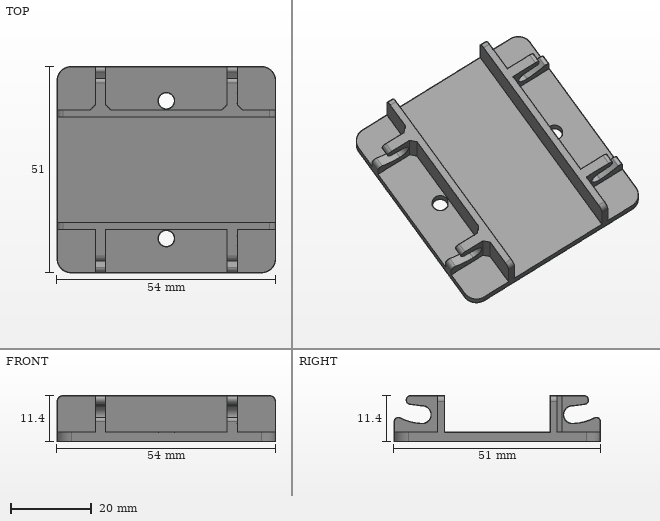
import cadquery as cq

length = 54.0
width = 51.0
height = 11.4
base_thickness = 2.4
base_corner_radius = 3.5

channel_width = 26.05
wall_thickness = 1.75
wall_corner_radius = 1.5
wall_inner_y = channel_width / 2
wall_outer_y = wall_inner_y + wall_thickness

hole_diameter = 4.0
hole_offset_y = 17.0

hook_thickness = 2.55
hook_offset_x = 16.25
gusset_leg = 1.3

lip_side_end = (0, 5.0)
lip_shoulder = (0.3, 5.7)
lip_ramp_start = (1.3, 6.0)
ramp_middle = (3.5, 5.1)
slot_bottom = (6.6, 4.55)
slot_deepest = (9.05, 7.0)
slot_top = (6.7, 8.85)
finger_underside_end = (3.9, 9.25)
finger_tip = (2.95, 10.2)
finger_top_end = (4.1, height)


def make_base():
    plate = cq.Workplane("XY").box(length, width, base_thickness, centered=(True, True, False))
    return plate.edges("|Z").fillet(base_corner_radius)


def make_wall():
    """Wall on the +Y side with rounded top ends."""
    wall = (
        cq.Workplane("XY")
        .box(length, wall_thickness, height, centered=(True, False, False))
        .translate((0, wall_inner_y, 0))
    )
    return wall.edges("|Y and >Z").fillet(wall_corner_radius)


def make_hook(x):
    """Hook on the +Y side, centred at x and reaching into the wall."""

    def at(point):
        inset, z = point
        return (width / 2 - inset, z)

    wall_inset = width / 2 - wall_inner_y - wall_thickness / 2
    return (
        cq.Workplane("YZ", origin=(x, 0, 0))
        .moveTo(*at((0, base_thickness / 2)))
        .lineTo(*at(lip_side_end))
        .threePointArc(at(lip_shoulder), at(lip_ramp_start))
        .threePointArc(at(ramp_middle), at(slot_bottom))
        .threePointArc(at(slot_deepest), at(slot_top))
        .lineTo(*at(finger_underside_end))
        .threePointArc(at(finger_tip), at(finger_top_end))
        .lineTo(*at((wall_inset, height)))
        .lineTo(*at((wall_inset, base_thickness / 2)))
        .close()
        .extrude(hook_thickness / 2, both=True)
    )


def make_gusset(x):
    """Full-height chamfered root where a +Y hook meets its wall."""
    root_half_width = hook_thickness / 2 + gusset_leg
    return (
        cq.Workplane("XY")
        .polyline([
            (x - root_half_width, wall_outer_y),
            (x - hook_thickness / 2, wall_outer_y + gusset_leg),
            (x + hook_thickness / 2, wall_outer_y + gusset_leg),
            (x + root_half_width, wall_outer_y),
        ])
        .close()
        .extrude(height)
    )


wall = make_wall()
result = make_base().union(wall).union(wall.mirror("XZ"))

for hook_x in (-hook_offset_x, hook_offset_x):
    hook = make_hook(hook_x)
    result = result.union(hook).union(hook.mirror("XZ"))
    result = result.union(make_gusset(hook_x))

holes = (
    cq.Workplane("XY")
    .pushPoints([(0, -hole_offset_y), (0, hole_offset_y)])
    .circle(hole_diameter / 2)
    .extrude(base_thickness)
)
result = result.cut(holes)